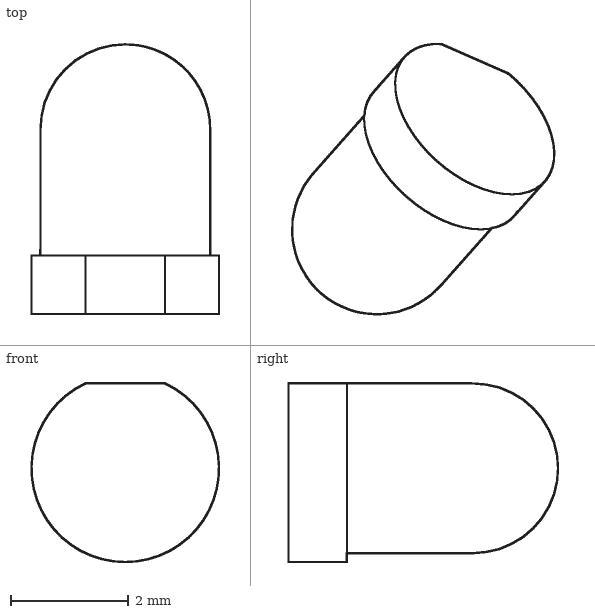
import cadquery as cq

total_length = 4.6
body_diameter = 2.9
flange_diameter = 3.2
flange_thickness = 1.0

body_radius = body_diameter / 2
flange_radius = flange_diameter / 2
dome_start = total_length - body_radius
flat_height = body_radius


def make_domed_body():
    """Round body with a hemispherical end, revolved about the Y axis."""
    dome_mid = body_radius / 2**0.5
    return (
        cq.Workplane("XY")
        .lineTo(body_radius, 0)
        .lineTo(body_radius, dome_start)
        .threePointArc((dome_mid, dome_start + dome_mid), (0, total_length))
        .close()
        .revolve(360, (0, 0, 0), (0, 1, 0))
    )


def make_flange():
    """Round flange with one flat on its +Z side."""
    disc = cq.Workplane("XZ").circle(flange_radius).extrude(-flange_thickness)
    above_flat = (
        cq.Workplane("XY")
        .workplane(offset=flat_height)
        .rect(2 * flange_diameter, 2 * flange_diameter)
        .extrude(flange_radius)
    )
    return disc.cut(above_flat)


result = make_flange().union(make_domed_body())